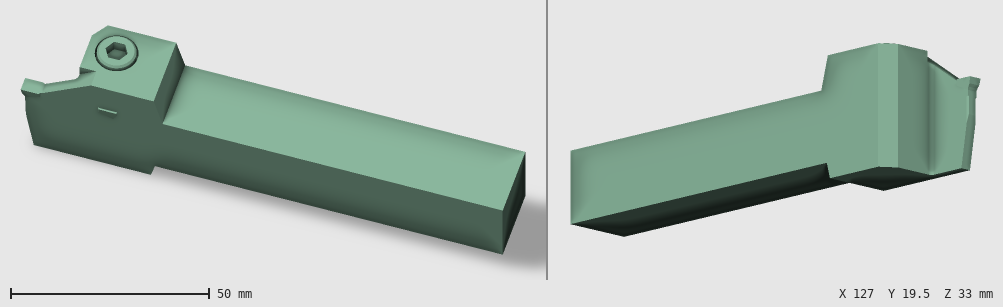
import cadquery as cq
import math


overall_length = 127.0
shank_size = 19.0
shank_bottom = 4.2
shank_top = shank_bottom + shank_size
head_height = 32.0
head_bottom_end = 34.2
head_top_end = 34.9
shoulder_tilt = math.radians(15)
body_front = 14.0
corner_chamfer_x = 2.9
corner_chamfer_y = 4.2

blade_thickness = 3.0
blade_mid = blade_thickness / 2
blade_tip = 1.0
blade_tip_bottom = 13.7
blade_toe = 3.3
blade_tip_chamfer = 0.4
blade_fillet = 1.0
nose_top = 18.4
nose_depth = 4.6
nose_slope = math.tan(math.radians(34))

insert_length = 25.3
insert_top = shank_top
insert_seat = 18.3
clamp_face = 24.5
head_length = 5.1
head_front_overhang = 0.5
head_back_overhang = 0.3
head_rear_taper = 0.4
head_rear_bottom = 21.7
head_front_bottom = 20.0
groove_depth = 0.6
groove_floor = 1.0
flank_points = [(0.3, 21.5), (0.8, 20.7)]

slot_depth = 5.0
slit_width = 1.5
slit_middle = 22.9
slit_hole_x = 31.6
slit_hole_z = 23.6
slit_hole_diameter = 4.0
relief_top = 25.7
relief_bottom = 19.8
relief_end = 26.3
relief_round = 1.3
relief_ramp = 1.1
seat_stop = 24.6
seat_relief_radius = 1.5

screw_x = 21.6
screw_y = 11.4
screw_head_diameter = 10.0
screw_head_rise = 1.0
screw_head_chamfer = 0.5
screw_shank_diameter = 6.5
screw_tip = 7.6
hex_sides = 6
hex_corner_diameter = 5.8
hex_depth = 3.2
counterbore_diameter = 11.0
counterbore_depth = 3.8


def prism(points, y_start, y_end):
    """Extrude a closed XZ outline from y_start to y_end."""
    outline = cq.Workplane("XZ", origin=(0, y_start, 0)).polyline(points).close()
    return outline.extrude(y_start - y_end)


def block(x_start, x_end, z_start, z_end, y_start, y_end):
    """Rectangular block between two planes along each axis."""
    corners = [(x_start, z_start), (x_end, z_start), (x_end, z_end), (x_start, z_end)]
    return prism(corners, y_start, y_end)


def round_bar(x, z, diameter, y_end):
    """Cylinder along Y from the blade side to y_end."""
    return cq.Workplane("XZ").center(x, z).circle(diameter / 2).extrude(-y_end)


def upright(diameter, z_start, z_end):
    """Cylinder on the screw axis between two heights."""
    plane = cq.Workplane("XY", origin=(screw_x, screw_y, z_start))
    return plane.circle(diameter / 2).extrude(z_end - z_start)


def nose_x(z):
    """X of the nose slope at height z."""
    return nose_top - (head_height - z) / nose_slope


def make_envelope():
    """Outer shape of the holder, before any pocket is cut."""
    side_outline = [
        (blade_toe, 0),
        (head_bottom_end, 0),
        (head_bottom_end + shank_bottom * math.tan(shoulder_tilt), shank_bottom),
        (overall_length, shank_bottom),
        (overall_length, shank_top),
        (head_top_end + (head_height - shank_top) * math.tan(shoulder_tilt), shank_top),
        (head_top_end, head_height),
        (blade_tip, head_height),
        (blade_tip, blade_tip_bottom),
    ]
    plan = (
        cq.Workplane("XY")
        .moveTo(blade_tip + blade_tip_chamfer, 0)
        .lineTo(overall_length, 0)
        .lineTo(overall_length, shank_size)
        .lineTo(body_front + corner_chamfer_x, shank_size)
        .lineTo(body_front, shank_size - corner_chamfer_y)
        .lineTo(body_front, blade_thickness + blade_fillet)
        .radiusArc((body_front - blade_fillet, blade_thickness), blade_fillet)
        .lineTo(blade_tip + blade_tip_chamfer, blade_thickness)
        .lineTo(blade_tip, blade_thickness - blade_tip_chamfer)
        .lineTo(blade_tip, blade_tip_chamfer)
        .close()
        .extrude(head_height)
    )
    above_nose = prism([(nose_x(0), 0), (nose_top, head_height), (nose_x(0), head_height)], 0, nose_depth)
    return prism(side_outline, 0, shank_size).intersect(plan).cut(above_nose)


def mirrored(points):
    """Complete an outline that is symmetric about the middle of the insert."""
    return points + [(insert_length - x, z) for x, z in reversed(points)]


def groove_bar(edge_z, floor_z):
    """Tapered bar along the insert that fills one of its grooves."""
    section = [
        (0, edge_z),
        (blade_thickness, edge_z),
        (blade_mid + groove_floor / 2, floor_z),
        (blade_mid - groove_floor / 2, floor_z),
    ]
    return cq.Workplane("YZ").polyline(section).close().extrude(insert_length)


def make_cutting_head():
    """Wide cutting head at the tip, its sides tapering in towards the bottom."""
    side_outline = [
        (0, insert_top),
        *flank_points,
        (blade_tip, head_front_bottom),
        (head_length, head_rear_bottom),
        (head_length, insert_top),
    ]
    front_y = -head_front_overhang
    back_y = blade_thickness + head_back_overhang
    section = [
        (front_y, insert_top),
        (0, head_front_bottom),
        (blade_thickness, head_front_bottom),
        (back_y, insert_top),
    ]
    plan = [
        (0, front_y),
        (head_length - head_rear_taper, front_y),
        (head_length, 0),
        (head_length, blade_thickness),
        (head_length - head_rear_taper, back_y),
        (0, back_y),
    ]
    side_taper = cq.Workplane("YZ").polyline(section).close().extrude(head_length)
    rear_taper = cq.Workplane("XY").polyline(plan).close().extrude(insert_top)
    return prism(side_outline, front_y, back_y).intersect(side_taper).intersect(rear_taper)


def make_insert():
    """Grooved bar with a cutting head at each end."""
    half_outline = [
        (blade_tip, insert_seat),
        (blade_tip, head_front_bottom),
        *reversed(flank_points),
        (0, insert_top),
        (nose_x(insert_top), insert_top),
        (nose_x(clamp_face), clamp_face),
    ]
    bar = prism(mirrored(half_outline), 0, blade_thickness)
    bar = bar.cut(groove_bar(clamp_face, clamp_face - groove_depth))
    bar = bar.cut(groove_bar(insert_seat, insert_seat + groove_depth))
    front_head = make_cutting_head()
    rear_head = front_head.mirror("YZ", (insert_length / 2, 0, 0))
    return bar.union(front_head).union(rear_head)


def make_slot():
    """Slot around the insert: rear pocket, reliefs at the tail, and the clamping slit."""
    pocket = block(0, seat_stop, insert_seat, clamp_face, blade_thickness, slot_depth)
    relief_start = insert_length - nose_x(clamp_face)
    tail_relief = prism(
        [
            (relief_start, clamp_face),
            (relief_start + relief_ramp, relief_top),
            (relief_end, relief_top),
            (relief_end, relief_bottom),
            (seat_stop, relief_bottom),
            (seat_stop, insert_top),
            (insert_length - nose_x(insert_top), insert_top),
        ],
        0,
        slot_depth,
    )
    tail_relief = tail_relief.edges("|Y and >X").fillet(relief_round)
    seat_relief = round_bar(
        seat_stop - seat_relief_radius, insert_seat, 2 * seat_relief_radius, slot_depth
    )
    seat_relief = seat_relief.intersect(block(0, seat_stop, 0, insert_seat, 0, slot_depth))
    slit_low = slit_middle - slit_width / 2
    slit_high = slit_middle + slit_width / 2

    def slit(x_start, y_start, y_end):
        return block(x_start, slit_hole_x, slit_low, slit_high, y_start, y_end)

    back_slit = slit(body_front, slot_depth, shank_size)
    front_slit = slit(relief_end - relief_round, 0, slot_depth)
    slit_hole = round_bar(slit_hole_x, slit_hole_z, slit_hole_diameter, shank_size)
    slot = pocket.union(tail_relief).union(seat_relief)
    return slot.union(back_slit).union(front_slit).union(slit_hole)


def make_screw():
    """Socket-head clamp screw with a chamfered head and a plain shank."""
    head_top = head_height + screw_head_rise
    head_seat = head_height - counterbore_depth
    head = upright(screw_head_diameter, head_seat, head_top)
    head = head.faces(">Z").chamfer(screw_head_chamfer)
    socket = (
        cq.Workplane("XY", origin=(screw_x, screw_y, head_top))
        .polygon(hex_sides, hex_corner_diameter)
        .extrude(-hex_depth)
    )
    return head.cut(socket).union(upright(screw_shank_diameter, screw_tip, head_seat))


envelope = make_envelope()
slot = make_slot()
insert = make_insert()
screw = make_screw()
screw_hole = upright(screw_shank_diameter, screw_tip, head_height)
counterbore = upright(counterbore_diameter, head_height - counterbore_depth, head_height)

holder = envelope.cut(slot).cut(insert).cut(screw_hole).cut(counterbore)
slot_filler = envelope.intersect(slot).cut(insert).cut(screw_hole)

result = cq.Compound.makeCompound([
    holder.solids().val(),
    insert.solids().val(),
    screw.solids().val(),
    slot_filler.solids().val(),
])